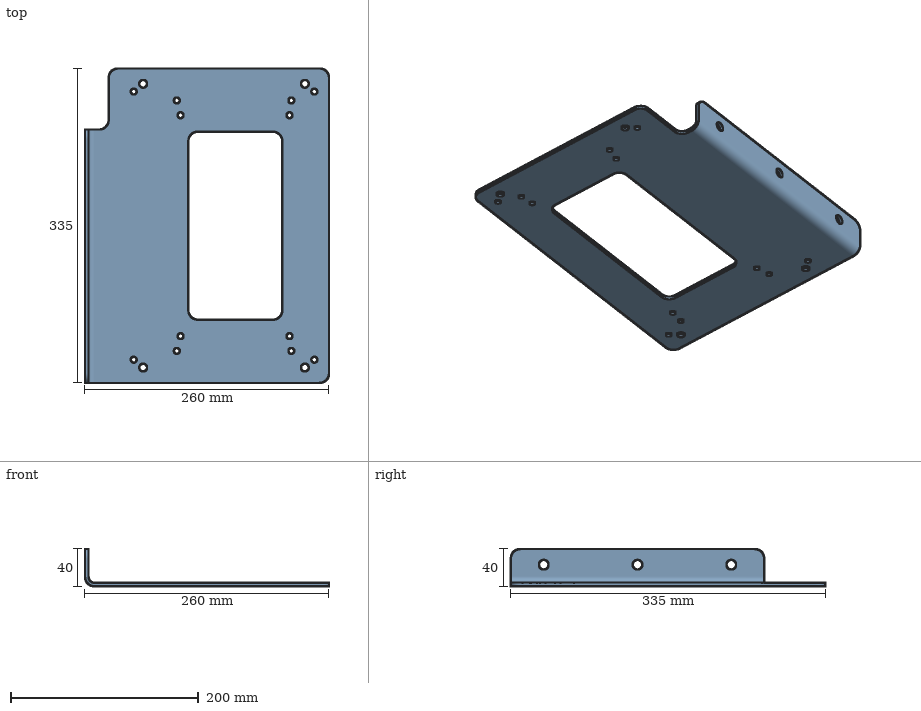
import cadquery as cq

plate_width = 260.0
plate_length = 335.0
flange_height = 40.0
thickness = 4.0

bend_outer_radius = 10.0
bend_inner_radius = bend_outer_radius - thickness
corner_radius = 10.0

flange_length = 270.0
notch_width = 25.0
notch_length = plate_length - flange_length

window_width = 99.8
window_length = 200.0
window_center_x = 160.0

hole_patterns = [
    (8.0, 148.0, 172.2, 302.2),
    (6.0, 148.0, 192.3, 285.5),
    (6.0, 158.8, 122.0, 266.5),
    (6.0, 159.8, 116.0, 235.2),
]

flange_hole_diameter = 10.0
flange_hole_spacing = 99.8
flange_hole_count = 3
flange_hole_z = 23.0


def bent_sheet():
    """L-shaped sheet with concentric bend radii, running along +Y."""
    sheet = (
        cq.Workplane("XZ")
        .polyline([
            (0, 0),
            (plate_width, 0),
            (plate_width, thickness),
            (thickness, thickness),
            (thickness, flange_height),
            (0, flange_height),
        ])
        .close()
        .extrude(-plate_length)
    )
    inner_edge = cq.selectors.NearestToPointSelector((thickness, plate_length / 2, thickness))
    outer_edge = cq.selectors.NearestToPointSelector((0, plate_length / 2, 0))
    sheet = sheet.edges("|Y").edges(inner_edge).fillet(bend_inner_radius)
    return sheet.edges("|Y").edges(outer_edge).fillet(bend_outer_radius)


def cut_notch(body):
    """Remove the flange and plate edge at the back, then round the corners."""
    notch = cq.Workplane().box(notch_width, notch_length, flange_height, centered=False)
    body = body.cut(notch.translate((0, flange_length, 0)))
    plate_corners = [
        (plate_width, 0),
        (plate_width, plate_length),
        (notch_width, plate_length),
        (notch_width, flange_length),
    ]
    for x, y in plate_corners:
        corner = cq.selectors.NearestToPointSelector((x, y, thickness / 2))
        body = body.edges("|Z").edges(corner).fillet(corner_radius)
    return body.faces(">Z").edges("|X").fillet(corner_radius)


def window_cutter():
    return (
        cq.Workplane()
        .center(window_center_x, plate_length / 2)
        .rect(window_width, window_length)
        .extrude(thickness)
        .edges("|Z")
        .fillet(corner_radius)
    )


def plate_hole_cutter(diameter, center_x, spacing_x, spacing_y):
    return (
        cq.Workplane()
        .center(center_x, plate_length / 2)
        .rarray(spacing_x, spacing_y, 2, 2)
        .circle(diameter / 2)
        .extrude(thickness)
    )


def flange_hole_cutter():
    return (
        cq.Workplane("YZ")
        .center(flange_length / 2, flange_hole_z)
        .rarray(flange_hole_spacing, 3.5, flange_hole_count, 1)
        .circle(flange_hole_diameter / 2)
        .extrude(thickness)
    )


bracket = cut_notch(bent_sheet())
bracket = bracket.cut(window_cutter())
for pattern in hole_patterns:
    bracket = bracket.cut(plate_hole_cutter(*pattern))
result = bracket.cut(flange_hole_cutter())